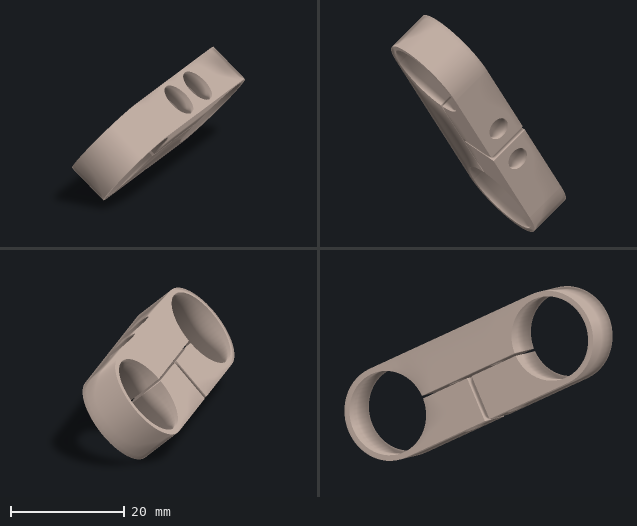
import cadquery as cq

TUBE_SPACING = 35.0
BODY_WIDTH = 17.0
BODY_THICKNESS = 8.0
TUBE_DIAMETER = 15.0
TILT_ANGLE = 48.3

LONG_SLIT_WIDTH = 0.5
JAW_GAP = 1.0

SCREW_SPACING = 9.0
SCREW_CLEARANCE_DIAMETER = 3.2
HEAD_DIAMETER = 6.5
HEAD_DEPTH = 3.0
JAW_HOLE_DIAMETER = 4.1

HALF_WIDTH = BODY_WIDTH / 2


def make_body():
    """Stadium plate with its long axis on Y, centred on the origin."""
    return (
        cq.Workplane("XY")
        .slot2D(TUBE_SPACING + BODY_WIDTH, BODY_WIDTH, 90)
        .extrude(BODY_THICKNESS / 2, both=True)
    )


def cut_tube_bores(body):
    """Bore a tube hole through each rounded end, concentric with it."""
    bores = (
        cq.Workplane("XY")
        .pushPoints([(0, -TUBE_SPACING / 2), (0, TUBE_SPACING / 2)])
        .circle(TUBE_DIAMETER / 2)
        .extrude(BODY_THICKNESS, both=True)
    )
    return body.cut(bores)


def cut_slits(body):
    """Slit joining the two bores, and the gap between the two jaws on the -X side."""
    long_slit = cq.Workplane("XY").box(LONG_SLIT_WIDTH, TUBE_SPACING, BODY_THICKNESS)
    jaw_gap = cq.Workplane("XY", origin=(-HALF_WIDTH / 2, 0, 0)).box(HALF_WIDTH, JAW_GAP, BODY_THICKNESS)
    return body.cut(long_slit).cut(jaw_gap)


def x_cylinder(diameter, x_start, length, y):
    """Cylinder along +X, at mid thickness."""
    return (
        cq.Workplane("YZ", origin=(x_start, y, 0))
        .circle(diameter / 2)
        .extrude(length)
    )


def cut_screw_hole(body, y):
    """Stepped hole: head recess on +X, clearance up to the slit, wider hole through the jaw on -X."""
    clearance = x_cylinder(SCREW_CLEARANCE_DIAMETER, 0, HALF_WIDTH, y)
    head_recess = x_cylinder(HEAD_DIAMETER, HALF_WIDTH - HEAD_DEPTH, HEAD_DEPTH, y)
    jaw_hole = x_cylinder(JAW_HOLE_DIAMETER, -HALF_WIDTH, HALF_WIDTH, y)
    return body.cut(clearance).cut(head_recess).cut(jaw_hole)


clamp = cut_slits(cut_tube_bores(make_body()))
for screw_y in (-SCREW_SPACING / 2, SCREW_SPACING / 2):
    clamp = cut_screw_hole(clamp, screw_y)

result = clamp.rotate((0, 0, 0), (0, 1, 0), -TILT_ANGLE)